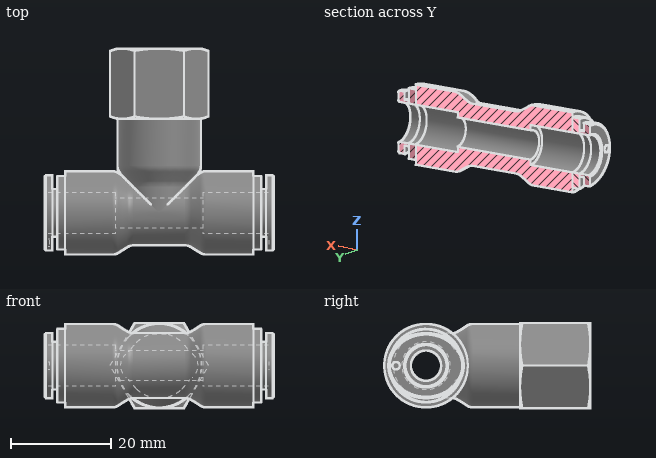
import cadquery as cq
import math

arm_diameter = 16.7
neck_diameter = 13.0
arm_length = 18.75
shoulder_start = 5.75
shoulder_end = 8.75
shoulder_radius = 2.0
through_diameter = 6.0

tube_diameter = 8.2

cap_diameter = 14.7
cap_thickness = 1.65
cap_chamfer = 0.15

half_length = 22.85
stem_diameter = 9.6
flange_width = 15.1
flange_height = 13.02
flange_thickness = 1.55
flange_chamfer = 0.3
mouth_chamfer = 0.27
mark_diameter = 1.5
mark_depth = 1.0
mark_offset = 6.0

nut_sides = 6
nut_width = 17.0
overall_depth = 41.1
branch_reach = overall_depth - arm_diameter / 2
nut_chamfer_diameter = 16.9
nut_chamfer_drop = 0.45

cap_face = arm_length + cap_thickness


def tee_arm():
    """One arm along +X, from the origin: neck, cone rounded at both ends, and cylinder."""
    neck_radius = neck_diameter / 2
    arm_radius = arm_diameter / 2
    slope = math.atan2(arm_radius - neck_radius, shoulder_end - shoulder_start)
    tangent = shoulder_radius * math.tan(slope / 2)
    tangent_run = tangent * math.cos(slope)
    tangent_rise = tangent * math.sin(slope)
    arc_sag = shoulder_radius * (1 - math.cos(slope / 2))
    arc_run = shoulder_radius * math.sin(slope / 2)
    outline = (
        cq.Workplane("XY")
        .lineTo(0, neck_radius)
        .lineTo(shoulder_start - tangent, neck_radius)
        .threePointArc(
            (shoulder_start - tangent + arc_run, neck_radius + arc_sag),
            (shoulder_start + tangent_run, neck_radius + tangent_rise),
        )
        .lineTo(shoulder_end - tangent_run, arm_radius - tangent_rise)
        .threePointArc(
            (shoulder_end + tangent - arc_run, arm_radius - arc_sag),
            (shoulder_end + tangent, arm_radius),
        )
        .lineTo(arm_length, arm_radius)
        .lineTo(arm_length, 0)
        .close()
    )
    return outline.revolve(360, (0, 0, 0), (1, 0, 0))


def x_cylinder(diameter, start, length):
    """A cylinder on the X axis that runs from x = start toward +X."""
    return cq.Workplane("YZ", origin=(start, 0, 0)).circle(diameter / 2).extrude(length)


def make_tee():
    tee = tee_arm()
    for angle in (90, 180):
        tee = tee.union(tee_arm().rotate((0, 0, 0), (0, 0, 1), angle))
    tee = tee.cut(x_cylinder(through_diameter, -arm_length, 2 * arm_length))
    socket_depth = arm_length - shoulder_end
    for start in (-arm_length, shoulder_end):
        tee = tee.cut(x_cylinder(tube_diameter, start, socket_depth))
    return tee


def make_cap():
    """The cap ring at the +X end."""
    ring = x_cylinder(cap_diameter, arm_length, cap_thickness)
    ring = ring.faces(">X").chamfer(cap_chamfer)
    return ring.cut(x_cylinder(tube_diameter, arm_length, cap_thickness))


def make_sleeve():
    """The release sleeve at the +X end."""
    flange = (
        cq.Workplane("YZ", origin=(half_length - flange_thickness, 0, 0))
        .ellipse(flange_width / 2, flange_height / 2)
        .extrude(flange_thickness)
        .faces(">X")
        .chamfer(flange_chamfer)
    )
    sleeve_length = half_length - cap_face
    sleeve = flange.union(x_cylinder(stem_diameter, cap_face, sleeve_length))
    sleeve = sleeve.cut(x_cylinder(tube_diameter, cap_face, sleeve_length))
    sleeve = sleeve.faces(">X").edges(cq.selectors.RadiusNthSelector(0)).chamfer(mouth_chamfer)
    mark = x_cylinder(mark_diameter, half_length - mark_depth, mark_depth)
    return sleeve.cut(mark.translate((0, -mark_offset, 0)))


def make_nut():
    """The hexagon, with a conical chamfer across its corners at both ends."""
    nut_length = branch_reach - arm_length
    corner_radius = nut_width / 2 / math.cos(math.pi / nut_sides)
    chamfer_radius = nut_chamfer_diameter / 2
    hexagon = (
        cq.Workplane("XZ", origin=(0, branch_reach, 0))
        .polygon(nut_sides, 2 * corner_radius)
        .extrude(nut_length)
    )
    envelope = (
        cq.Workplane("XY")
        .moveTo(0, arm_length)
        .lineTo(chamfer_radius, arm_length)
        .lineTo(corner_radius, arm_length + nut_chamfer_drop)
        .lineTo(corner_radius, branch_reach - nut_chamfer_drop)
        .lineTo(chamfer_radius, branch_reach)
        .lineTo(0, branch_reach)
        .close()
        .revolve(360, (0, 0, 0), (0, 1, 0))
    )
    return hexagon.intersect(envelope)


def at_both_ends(body):
    """The body at the +X end and its mirror image at the -X end."""
    return [body.val(), body.mirror("YZ").val()]


tee = make_tee()
nut = make_nut()
caps = at_both_ends(make_cap())
sleeves = at_both_ends(make_sleeve())

result = cq.Compound.makeCompound([tee.val(), nut.val(), *caps, *sleeves])